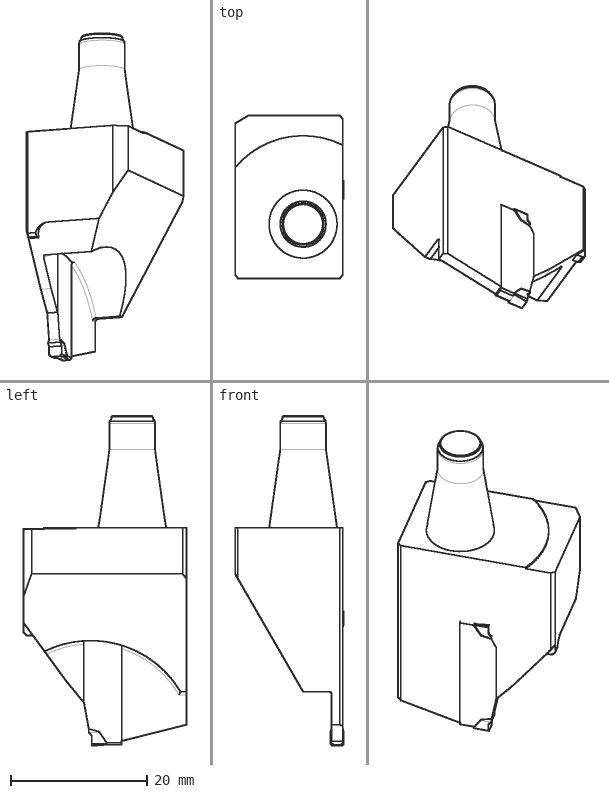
import cadquery as cq
import math


shank_height = 16.4
shank_base_radius = 5.0
shank_tip_radius = 6.75 / 2
cone_height = 11.5
tip_taper_start = 15.3
tip_round_start = 15.65
tip_round_radius = 3.33
tip_round_bulge = 0.08
tip_chamfer = 0.15
tip_flat_radius = 2.9

left_x = -10.0
right_x = 5.85
front_y = -8.0
back_y = 16.0
relief_radius = 13.0
relief_depth = 0.2
corner_run_x = 0.43
corner_run_y = 0.58
back_left_run_x = 1.95
back_left_run_y = 1.2

flank_end_x = 0.0
flank_angle = 60.0
block_bottom_z = -24.15
back_slope_top_z = -13.95
back_knee_y = 9.7
back_knee_z = -22.6
blade_left_x = 4.2
blade_toe_z = -29.0
blade_heel_z = -31.4
arch_radius = 15.35
arch_center_y = 6.1
arch_top_z = -16.62
arch_fillet = 0.45

insert_length = 20.0
insert_tip_z = -32.1
insert_mid_z = insert_tip_z + insert_length / 2
insert_left_x = 4.15
insert_bottom_y = 1.57
insert_top_y = 7.1
clamp_end_z = -25.75
clamp_start_z = -16.0
edge_y = 5.98
rake_top_y = 6.4
rake_bottom_z = -30.1
rake_foot_z = -30.6
lobe_top_z = -29.6
end_relief = 0.17
cutter_left_x = 4.0
cutter_right_x = 6.0
cutter_corner = 0.3
cutter_back_y = 4.86
cutter_back_z = -30.0
cutter_heel_y = 3.77

lip_bottom_z = -15.9
lip_cove_radius = 2.0
lip_length = 2.0
lip_chamfer = 0.5


def extrude_along_x(outline, start_x, end_x):
    """Extrude a closed YZ outline between two X positions."""
    return outline.extrude(end_x - start_x).translate((start_x, 0, 0))


def make_shank():
    rounded_end = (tip_flat_radius + tip_chamfer, shank_height - tip_chamfer)
    profile = (
        cq.Workplane("XZ")
        .moveTo(0, 0)
        .lineTo(shank_base_radius, 0)
        .lineTo(shank_tip_radius, cone_height)
        .lineTo(shank_tip_radius, tip_taper_start)
        .lineTo(tip_round_radius, tip_round_start)
        .sagittaArc(rounded_end, tip_round_bulge)
        .lineTo(tip_flat_radius, shank_height)
        .lineTo(0, shank_height)
        .close()
    )
    return profile.revolve(360, (0, 0, 0), (0, 1, 0))


def make_plan_prism():
    """Head outline seen along Z, with its four corner chamfers."""
    outline = [
        (left_x + corner_run_x, front_y),
        (right_x - corner_run_x, front_y),
        (right_x, front_y + corner_run_y),
        (right_x, back_y - corner_run_y),
        (right_x - corner_run_x, back_y),
        (left_x + back_left_run_x, back_y),
        (left_x, back_y - back_left_run_y),
        (left_x, front_y + corner_run_y),
    ]
    return cq.Workplane("XY").polyline(outline).close().extrude(insert_tip_z)


def make_side_prism():
    """Head and blade outline seen along X."""
    outline = [
        (front_y, 0),
        (back_y, 0),
        (back_y, back_slope_top_z),
        (back_knee_y, back_knee_z),
        (insert_top_y, clamp_end_z),
        (insert_bottom_y, blade_heel_z),
        (front_y, blade_toe_z),
    ]
    return extrude_along_x(cq.Workplane("YZ").polyline(outline).close(), left_x, right_x)


def make_flank_cutter():
    """Wedge that removes everything below the sloping left flank."""
    flank_top_z = block_bottom_z + (flank_end_x - left_x) * math.tan(math.radians(flank_angle))
    outline = [
        (left_x, flank_top_z),
        (flank_end_x, block_bottom_z),
        (flank_end_x, insert_tip_z),
        (left_x, insert_tip_z),
    ]
    depth = back_y - front_y
    wedge = cq.Workplane("XZ").polyline(outline).close().extrude(-depth)
    return wedge.translate((0, front_y, 0))


def make_arch_outline():
    """Arch over the blade's left face, running into the flat underside."""
    arch_center_z = arch_top_z - arch_radius
    arch_half_run = math.sqrt(arch_radius**2 - (block_bottom_z - arch_center_z) ** 2)
    overrun = 5.0
    floor_z = insert_tip_z - overrun
    far_y = arch_center_y + arch_radius
    return (
        cq.Workplane("YZ")
        .moveTo(front_y - overrun, block_bottom_z)
        .lineTo(arch_center_y - arch_half_run, block_bottom_z)
        .threePointArc((arch_center_y, arch_top_z), (far_y, arch_center_z))
        .lineTo(far_y, floor_z)
        .lineTo(front_y - overrun, floor_z)
        .close()
    )


def make_arch_cutter():
    """Arch cut with a fillet at the blade, left sharp above the insert."""
    arch = extrude_along_x(make_arch_outline(), left_x, blade_left_x)
    filleted = arch.faces(">X").edges().fillet(arch_fillet)
    insert_band = cq.Workplane("XY").box(
        blade_left_x - left_x,
        insert_top_y - insert_bottom_y,
        insert_length,
        centered=False,
    ).translate((left_x, insert_bottom_y, insert_tip_z))
    return filleted.union(arch.intersect(insert_band))


def make_lip():
    """Short lip under the back slope, with a concave left face."""
    profile = (
        cq.Workplane("XZ")
        .moveTo(right_x - corner_run_x, back_slope_top_z)
        .lineTo(blade_left_x - lip_cove_radius, back_slope_top_z)
        .radiusArc((blade_left_x, lip_bottom_z), lip_cove_radius)
        .lineTo(right_x - corner_run_x, lip_bottom_z)
        .close()
    )
    lip = profile.extrude(lip_length).translate((0, back_y, 0))
    return lip.faces("<Z").edges(">Y").chamfer(lip_chamfer)


def make_cutting_end():
    """Wide cutting lobe at the lower end of the insert, tapering into the body width."""
    outline = [
        (edge_y, insert_tip_z),
        (edge_y, rake_foot_z),
        (rake_top_y, rake_bottom_z),
        (rake_top_y, lobe_top_z),
        (cutter_back_y, cutter_back_z),
        (cutter_heel_y, insert_tip_z + end_relief + cutter_corner),
        (cutter_heel_y, insert_tip_z + end_relief),
    ]
    lobe = extrude_along_x(cq.Workplane("YZ").polyline(outline).close(), cutter_left_x, cutter_right_x)
    width_outline = [
        (cutter_left_x + cutter_corner, insert_tip_z),
        (cutter_right_x - cutter_corner, insert_tip_z),
        (cutter_right_x, insert_tip_z + cutter_corner),
        (cutter_right_x, rake_bottom_z),
        (right_x, lobe_top_z),
        (insert_left_x, lobe_top_z),
        (cutter_left_x, rake_bottom_z),
        (cutter_left_x, insert_tip_z + cutter_corner),
    ]
    width_prism = cq.Workplane("XZ").polyline(width_outline).close().extrude(-insert_top_y)
    return lobe.intersect(width_prism)


def make_insert():
    lower_end = [
        (insert_bottom_y, insert_tip_z + end_relief),
        (edge_y, insert_tip_z + end_relief),
        (edge_y, rake_foot_z),
        (rake_top_y, rake_bottom_z),
        (rake_top_y, lobe_top_z),
    ]
    flat_top = [(insert_top_y, clamp_end_z), (insert_top_y, clamp_start_z)]
    upper_end = [(y, 2 * insert_mid_z - z) for y, z in reversed(lower_end)]
    outline = cq.Workplane("YZ").polyline(lower_end + flat_top + upper_end).close()
    body = extrude_along_x(outline, insert_left_x, right_x)
    body = body.faces("<Z or >Z").edges("|Y").chamfer(cutter_corner)
    lower_lobe = make_cutting_end()
    upper_lobe = lower_lobe.mirror("XY", (0, 0, insert_mid_z))
    return body.union(lower_lobe).union(upper_lobe)


def make_top_relief():
    """Shallow layer outside the contact disc on the head's top face."""
    outer_radius = 2 * back_y
    return cq.Workplane("XY").circle(outer_radius).circle(relief_radius).extrude(-relief_depth)


def make_holder(insert):
    head = make_plan_prism().intersect(make_side_prism())
    head = head.cut(make_flank_cutter()).cut(make_arch_cutter())
    head = head.cut(make_top_relief())
    return head.union(make_lip()).union(make_shank()).cut(insert)


insert = make_insert()
holder = make_holder(insert)

result = cq.Compound.makeCompound([holder.val(), insert.val()])